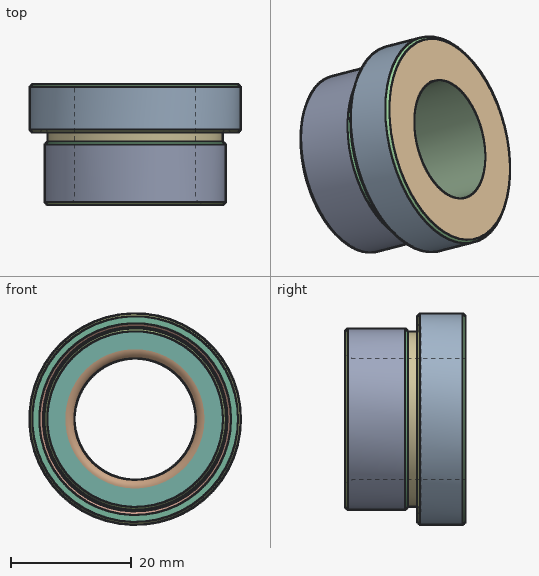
import cadquery as cq
import math

total_length = 20.0
flange_radius = 17.5
flange_length = 8.0
body_radius = 15.0
bore_radius = 10.0
edge_chamfer = 0.5
bore_rounding = 1.5

neck_length = 1.5
neck_radius = body_radius - edge_chamfer
relief_outer_radius = 15.85
relief_depth = 0.6
relief_fillet = 0.6

shoulder_y = total_length - flange_length
neck_start_y = shoulder_y - neck_length
relief_floor_y = shoulder_y + relief_depth
relief_floor_radius = relief_outer_radius - relief_depth


def bushing_profile():
    """Half section in the XY plane: x is the radius and y runs along the axis."""
    diagonal = math.sqrt(0.5)
    rounding_middle = (
        bore_radius + bore_rounding * (1 - diagonal),
        bore_rounding * (1 - diagonal),
    )
    fillet_middle = (
        neck_radius + relief_fillet * (1 - diagonal),
        relief_floor_y - relief_fillet * (1 - diagonal),
    )
    return (
        cq.Workplane("XY")
        .moveTo(bore_radius, total_length)
        .lineTo(bore_radius, bore_rounding)
        .threePointArc(rounding_middle, (bore_radius + bore_rounding, 0))
        .lineTo(body_radius - edge_chamfer, 0)
        .lineTo(body_radius, edge_chamfer)
        .lineTo(body_radius, neck_start_y - edge_chamfer)
        .lineTo(neck_radius, neck_start_y)
        .lineTo(neck_radius, relief_floor_y - relief_fillet)
        .threePointArc(fillet_middle, (neck_radius + relief_fillet, relief_floor_y))
        .lineTo(relief_floor_radius, relief_floor_y)
        .lineTo(relief_outer_radius, shoulder_y)
        .lineTo(flange_radius - edge_chamfer, shoulder_y)
        .lineTo(flange_radius, shoulder_y + edge_chamfer)
        .lineTo(flange_radius, total_length - edge_chamfer)
        .lineTo(flange_radius - edge_chamfer, total_length)
        .close()
    )


result = bushing_profile().revolve(360, (0, 0, 0), (0, 1, 0))